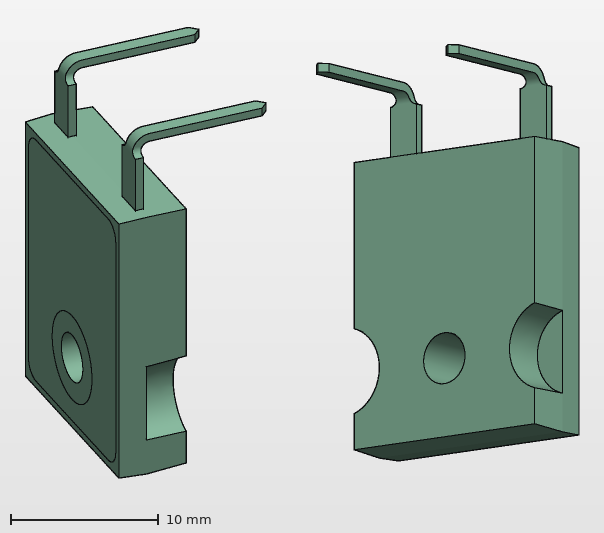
import cadquery as cq
import math

HOUSING_WIDTH = 15.5
HOUSING_HEIGHT = 20.0
FRONT_DEPTH = 2.0
BACK_DEPTH = 3.0
DRAFT_INSET = 0.1

HOLE_DIAMETER = 3.5
COLLAR_DIAMETER = 6.5
HOLE_Z = 5.5

NOTCH_DIAMETER = 5.95
NOTCH_DEPTH = 2.13

PLATE_MARGIN = 0.6
PLATE_CORNER_RADIUS = 1.25
PLATE_THICKNESS = 1.0
PLATE_WIDTH = HOUSING_WIDTH - 2 * PLATE_MARGIN
PLATE_HEIGHT = HOUSING_HEIGHT - 2 * PLATE_MARGIN

LEAD_SPACING = 11.0
LEAD_THICKNESS = 0.6
LEAD_WIDTH = 2.2
NECK_WIDTH = 1.1
SHOULDER_Z = 23.98
LEAD_TOP_Z = 25.4
TIP_Y = 9.9
BEND_INNER_RADIUS = 0.7
LEAD_INSERTION = 1.0
BEND_OUTER_RADIUS = BEND_INNER_RADIUS + LEAD_THICKNESS
LEAD_BOTTOM_Z = HOUSING_HEIGHT - LEAD_INSERTION
TIP_LENGTH = NECK_WIDTH / 2


def rod_along_y(diameter, x, y_start, y_end):
    """Cylinder along Y at the height of the mounting hole."""
    rod = cq.Workplane("XZ", origin=(x, y_start, HOLE_Z)).circle(diameter / 2)
    return rod.extrude(y_start - y_end)


def make_half_shell(depth):
    """One half of the housing, tapering from the parting plane to Y = depth."""
    taper = math.degrees(math.atan(DRAFT_INSET / abs(depth)))
    outline = cq.Workplane("XZ", origin=(0, 0, HOUSING_HEIGHT / 2)).rect(HOUSING_WIDTH, HOUSING_HEIGHT)
    return outline.extrude(-depth, taper=taper)


def make_plate():
    """Rounded plate with a round opening for the collar."""
    plate = (
        cq.Workplane("XZ", origin=(0, -FRONT_DEPTH, HOUSING_HEIGHT / 2))
        .rect(PLATE_WIDTH, PLATE_HEIGHT)
        .extrude(-PLATE_THICKNESS)
        .edges("|Y")
        .fillet(PLATE_CORNER_RADIUS)
    )
    return plate.cut(rod_along_y(COLLAR_DIAMETER, 0, -FRONT_DEPTH, 0))


def make_lead(x):
    """Bent strip with a wide shank, a filleted neck and a pointed tip."""
    half_thickness = LEAD_THICKNESS / 2
    half_width = LEAD_WIDTH / 2
    half_neck = NECK_WIDTH / 2
    neck_fillet = half_width - half_neck
    bend_y = BEND_OUTER_RADIUS - half_thickness
    bend_z = LEAD_TOP_Z - BEND_OUTER_RADIUS
    diagonal = math.sqrt(0.5)
    outer_mid = (bend_y - BEND_OUTER_RADIUS * diagonal, bend_z + BEND_OUTER_RADIUS * diagonal)
    inner_mid = (bend_y - BEND_INNER_RADIUS * diagonal, bend_z + BEND_INNER_RADIUS * diagonal)

    strip = (
        cq.Workplane("YZ")
        .moveTo(-half_thickness, LEAD_BOTTOM_Z)
        .lineTo(-half_thickness, bend_z)
        .threePointArc(outer_mid, (bend_y, LEAD_TOP_Z))
        .lineTo(TIP_Y, LEAD_TOP_Z)
        .lineTo(TIP_Y, LEAD_TOP_Z - LEAD_THICKNESS)
        .lineTo(bend_y, LEAD_TOP_Z - LEAD_THICKNESS)
        .threePointArc(inner_mid, (half_thickness, bend_z))
        .lineTo(half_thickness, LEAD_BOTTOM_Z)
        .close()
        .extrude(half_width, both=True)
    )

    arc_offset = neck_fillet * (1 - diagonal)
    fillet_top_z = SHOULDER_Z + neck_fillet
    fillet_mid = (half_neck + arc_offset, SHOULDER_Z + arc_offset)
    front_outline = (
        cq.Workplane("XZ", origin=(0, -half_thickness, 0))
        .moveTo(-half_width, LEAD_BOTTOM_Z)
        .lineTo(half_width, LEAD_BOTTOM_Z)
        .lineTo(half_width, SHOULDER_Z)
        .threePointArc(fillet_mid, (half_neck, fillet_top_z))
        .lineTo(half_neck, LEAD_TOP_Z)
        .lineTo(-half_neck, LEAD_TOP_Z)
        .lineTo(-half_neck, fillet_top_z)
        .threePointArc((-fillet_mid[0], fillet_mid[1]), (-half_width, SHOULDER_Z))
        .close()
        .extrude(-(TIP_Y + half_thickness))
    )
    lead = strip.intersect(front_outline)

    for side in (-1, 1):
        corner = (
            cq.Workplane("XY", origin=(0, 0, LEAD_TOP_Z - LEAD_THICKNESS))
            .moveTo(0, TIP_Y)
            .lineTo(side * half_neck, TIP_Y)
            .lineTo(side * half_neck, TIP_Y - TIP_LENGTH)
            .close()
            .extrude(LEAD_THICKNESS)
        )
        lead = lead.cut(corner)
    return lead.translate((x, 0, 0))


def make_notch(side):
    """Drafted round cutter for the notch on one side."""
    axis_x = HOUSING_WIDTH / 2 - NOTCH_DEPTH + NOTCH_DIAMETER / 2
    draft_angle = math.degrees(math.atan(DRAFT_INSET / BACK_DEPTH))
    outline = cq.Workplane("XZ", origin=(side * axis_x, 0, HOLE_Z)).circle(NOTCH_DIAMETER / 2)
    return outline.extrude(-BACK_DEPTH, taper=-draft_angle)


def make_housing(plate, leads):
    """Drafted block with its hole, side notches and recesses for the other bodies."""
    body = make_half_shell(-FRONT_DEPTH).union(make_half_shell(BACK_DEPTH))
    body = body.cut(rod_along_y(HOLE_DIAMETER, 0, -FRONT_DEPTH, BACK_DEPTH))
    for side in (-1, 1):
        body = body.cut(make_notch(side))
    body = body.cut(plate)
    for lead in leads:
        body = body.cut(lead)
    return body


plate = make_plate()
leads = [make_lead(side * LEAD_SPACING / 2) for side in (-1, 1)]
housing = make_housing(plate, leads)

result = cq.Compound.makeCompound(
    [body.solids().val() for body in (housing, plate, *leads)]
)